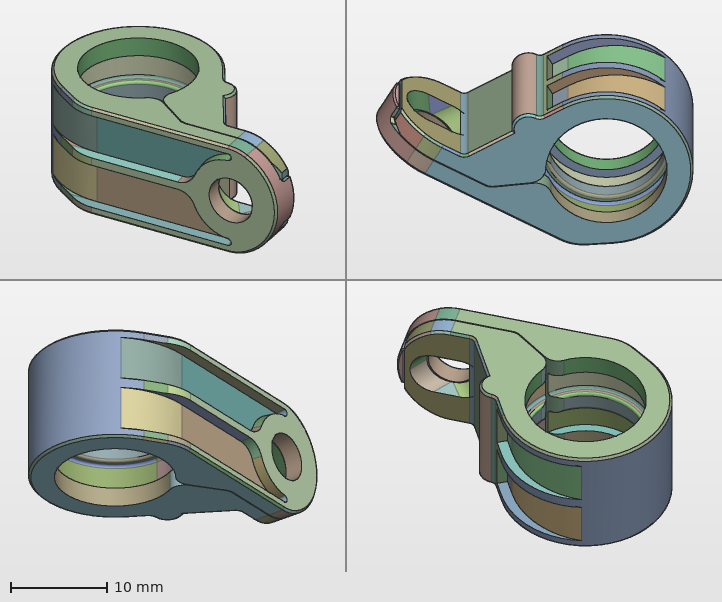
import cadquery as cq
import math

half_height = 6.35
ring_radius = 9.02
bore_radius = 6.32
front_y = -9.83
end_x = 31.12 - ring_radius
edge_chamfer = 0.25

front_blend = 4.98
back_y = -5.75
flank_normal = 30.0
heel_fillet = 0.78
bump_radius = 1.75
bump_center = (9.55, 0.4)
bump_fillet = 0.78

end_radius = 6.5
end_corner_radius = 4.98
hole_radius = 2.58
hole_x = 16.62
slot_start = 0.1
slot_end = 1.4

slit_width = 0.1
slit_y = -7.75
slit_bend_x = 9.62
slit_slope = 36.0
slit_bend_fillet = 1.55
jaw_fillet = 1.75

back_strap_end_x = end_x - 0.87
back_strap_chamfer = (0.9, 0.53)
latch_gap = 0.03
latch_top_y = -5.95
latch_half_width = 2.43
latch_root = 0.45
latch_chamfer = 0.2

groove_depth = 0.93
bead_rounding = 0.3
lip_height = 2.12
bead_half_height = 0.8

pocket_depth = 1.12
pocket_floor_radius = 9.7
pocket_top = 5.48
rib_half_width = 0.45
pocket_inset = 0.12
boss_radius = 4.7
boss_fillet = 2.18
pocket_tip_offset = 0.35
back_pocket_end = 1.87

reach = 18.67


def polar(radius, degrees):
    """Point at a radius and an angle from the origin."""
    angle = math.radians(degrees)
    return (radius * math.cos(angle), radius * math.sin(angle))


def plan_body():
    """Ring, straps and bump as one prism."""
    normal_y = (ring_radius - front_blend) / (front_y + front_blend)
    lower_angle = 180 - math.degrees(math.asin(normal_y))
    ring_lower = polar(ring_radius, lower_angle)
    blend_x, blend_y = polar(front_blend, lower_angle)
    blend_start = (blend_x, blend_y + front_y + front_blend)
    blend_mid = polar(front_blend, (lower_angle + 270) / 2)
    ring_upper = polar(ring_radius, flank_normal)
    slope = math.radians(flank_normal)
    heel_x = (ring_radius - back_y * math.sin(slope)) / math.cos(slope)
    outline = (
        cq.Workplane("XY").workplane(offset=-half_height)
        .moveTo(0, front_y)
        .lineTo(end_x, front_y)
        .lineTo(end_x, back_y)
        .lineTo(heel_x, back_y)
        .lineTo(*ring_upper)
        .threePointArc(polar(ring_radius, (flank_normal + lower_angle) / 2), ring_lower)
        .lineTo(*blend_start)
        .threePointArc((blend_mid[0], blend_mid[1] + front_y + front_blend), (0, front_y))
        .close()
        .extrude(2 * half_height)
    )
    outline = outline.edges(near_line(heel_x, back_y)).fillet(heel_fillet)
    bump = (
        cq.Workplane("XY").workplane(offset=-half_height)
        .center(*bump_center).circle(bump_radius).extrude(2 * half_height)
    )
    cx, cy = bump_center
    distance = ring_radius - cx * math.cos(slope) - cy * math.sin(slope)
    half_chord = math.sqrt(bump_radius**2 - distance**2)
    bump_x = cx + distance * math.cos(slope) - half_chord * math.sin(slope)
    bump_y = cy + distance * math.sin(slope) + half_chord * math.cos(slope)
    return outline.union(bump).edges(near_line(bump_x, bump_y)).fillet(bump_fillet)


def near_line(x, y, margin=0.12):
    """Select the upright edge that stands at (x, y)."""
    box = cq.selectors.BoxSelector((x - margin, y - margin, -0.3), (x + margin, y + margin, 0.3))
    return cq.selectors.StringSyntaxSelector("|Z") & box


def end_prism(y_start, y_end):
    """Side outline with the rounded strap end, between two Y planes."""
    arc_x = end_x - end_radius
    rise = half_height - end_corner_radius
    run = math.sqrt((end_radius - end_corner_radius) ** 2 - rise**2)
    corner_x = arc_x + run
    join_angle = math.degrees(math.atan2(rise, run))
    join_x, join_z = polar(end_radius, join_angle)
    mid_x, mid_z = polar(end_corner_radius, (90 + join_angle) / 2)
    return (
        cq.Workplane("XZ", origin=(0, y_start, 0))
        .moveTo(-reach, -half_height)
        .lineTo(corner_x, -half_height)
        .threePointArc((corner_x + mid_x, -rise - mid_z), (arc_x + join_x, -join_z))
        .threePointArc((end_x, 0), (arc_x + join_x, join_z))
        .threePointArc((corner_x + mid_x, rise + mid_z), (corner_x, half_height))
        .lineTo(-reach, half_height)
        .close()
        .extrude(y_start - y_end)
    )


def chamfered_body():
    """Plan prism with the rounded strap end and a chamfer all along its rim."""
    body = plan_body().intersect(end_prism(front_y, back_y + reach))
    return body.edges("not (|Y or |Z)").chamfer(edge_chamfer)


def slit_mouth():
    """Point where the middle of the slit meets the bore."""
    slope = math.radians(slit_slope)
    offset = slit_bend_x * math.sin(slope) + slit_y * math.cos(slope)
    along = math.sqrt(bore_radius**2 - offset**2)
    return (
        offset * math.sin(slope) + along * math.cos(slope),
        offset * math.cos(slope) - along * math.sin(slope),
    )


def slit():
    """Thin cut that slopes down from the bore and then runs out between the straps."""
    half_width = slit_width / 2
    slope = math.radians(slit_slope)
    miter = half_width * math.tan(slope / 2)
    mouth_x, mouth_y = slit_mouth()
    inside_x = mouth_x - bore_radius / 2 * math.cos(slope)
    inside_y = mouth_y + bore_radius / 2 * math.sin(slope)
    shift_x = half_width * math.sin(slope)
    shift_y = half_width * math.cos(slope)
    cut = (
        cq.Workplane("XY").workplane(offset=-reach)
        .moveTo(inside_x + shift_x, inside_y + shift_y)
        .lineTo(slit_bend_x + miter, slit_y + half_width)
        .lineTo(reach * 2, slit_y + half_width)
        .lineTo(reach * 2, slit_y - half_width)
        .lineTo(slit_bend_x - miter, slit_y - half_width)
        .lineTo(inside_x - shift_x, inside_y - shift_y)
        .close()
        .extrude(2 * reach)
    )
    return cut.edges(near_line(slit_bend_x, slit_y)).fillet(slit_bend_fillet)


def box(x_min, x_max, y_min, y_max, z_min, z_max):
    """Block between two planes in each direction."""
    return cq.Workplane("XY").box(
        x_max - x_min, y_max - y_min, z_max - z_min, centered=False
    ).translate((x_min, y_min, z_min))


def strap_end_cut():
    """Room for the latch: shortens the back strap and chamfers its lower corner."""
    floor_y = slit_y - slit_width / 2
    strap_y = slit_y + slit_width / 2
    run, rise = back_strap_chamfer
    return (
        cq.Workplane("XY").workplane(offset=-reach)
        .moveTo(back_strap_end_x - run, floor_y)
        .lineTo(back_strap_end_x - run, strap_y)
        .lineTo(back_strap_end_x, strap_y + rise)
        .lineTo(back_strap_end_x, reach)
        .lineTo(2 * reach, reach)
        .lineTo(2 * reach, floor_y)
        .close()
        .extrude(2 * reach)
    )


def latch():
    """Lip that stands on the end of the front strap, behind the back strap's end."""
    base_y = slit_y - slit_width / 2
    inner_x = back_strap_end_x + latch_gap
    lip = box(inner_x, reach * 2, base_y, latch_top_y, -latch_half_width, latch_half_width)
    root_width = reach + 2 * latch_root
    root = (
        cq.Workplane("XZ", origin=(inner_x + reach / 2, base_y, 0))
        .rect(root_width, 2 * (latch_half_width + latch_root))
        .workplane(offset=-latch_root)
        .rect(reach, 2 * latch_half_width)
        .loft()
    )
    outline = end_prism(base_y - 0.3, latch_top_y)
    lip = lip.intersect(outline).faces(">Y").edges().chamfer(latch_chamfer)
    return lip.union(root.intersect(outline))


def fastener_hole():
    """Round hole in the front strap that spreads sideways into a slot through the back strap."""
    hole = cq.Workplane("XZ", origin=(hole_x, slit_y, 0)).circle(hole_radius).extrude(reach)
    for side in (-1, 1):
        leaning = (
            cq.Workplane("XZ", origin=(hole_x, slit_y, 0))
            .center(side * slot_start, 0)
            .circle(hole_radius)
            .workplane(offset=slit_y - back_y)
            .center(side * (slot_end - slot_start), 0)
            .circle(hole_radius)
            .loft(ruled=True)
        )
        hole = hole.union(leaning)
    wedge = (
        cq.Workplane("XY", origin=(hole_x, 0, -hole_radius))
        .moveTo(slot_start, slit_y)
        .lineTo(slot_end, back_y)
        .lineTo(-slot_end, back_y)
        .lineTo(-slot_start, slit_y)
        .close()
        .extrude(2 * hole_radius)
    )
    return hole.union(wedge)


def bore_groove():
    """Groove above the middle bead, with the bead's edge and foot rounded."""
    bottom = bead_half_height
    bend = bead_rounding
    outer = bore_radius + groove_depth
    diagonal = bend * (1 - math.sqrt(0.5))
    return (
        cq.Workplane("XZ")
        .moveTo(bore_radius, bottom)
        .threePointArc(
            (bore_radius + diagonal, bottom + bend - diagonal),
            (bore_radius + bend, bottom + bend),
        )
        .lineTo(outer - bend, bottom + bend)
        .threePointArc(
            (outer - diagonal, bottom + bend + diagonal),
            (outer, bottom + 2 * bend),
        )
        .lineTo(outer, half_height - lip_height)
        .lineTo(bore_radius, half_height - lip_height)
        .close()
        .revolve(360, (0, 0, 0), (0, 1, 0))
    )


def front_pocket_outline(inset, y):
    """Side outline of the upper front pocket, leaning in by the inset."""
    top = pocket_top - inset
    rib = rib_half_width + inset
    boss = boss_radius + inset
    fillet = boss_fillet - inset
    tip_x = hole_x - pocket_tip_offset
    tip = (top**2 + pocket_tip_offset**2 - boss**2) / (2 * (boss + top))
    tip_angle = math.atan2(top - tip, -pocket_tip_offset)
    tip_end = (hole_x + boss * math.cos(tip_angle), boss * math.sin(tip_angle))
    fillet_z = rib + fillet
    fillet_x = hole_x - math.sqrt((boss + fillet) ** 2 - fillet_z**2)
    neck_angle = math.atan2(fillet_z, fillet_x - hole_x)
    neck = (hole_x + boss * math.cos(neck_angle), boss * math.sin(neck_angle))
    boss_mid_angle = (tip_angle + neck_angle) / 2
    boss_mid = (hole_x + boss * math.cos(boss_mid_angle), boss * math.sin(boss_mid_angle))
    fillet_mid_angle = (neck_angle - math.pi - math.pi / 2) / 2
    fillet_mid = (
        fillet_x + fillet * math.cos(fillet_mid_angle),
        fillet_z + fillet * math.sin(fillet_mid_angle),
    )
    return (
        cq.Workplane("XZ", origin=(0, y, 0))
        .moveTo(-reach, top)
        .lineTo(tip_x, top)
        .threePointArc((tip_x + tip, top - tip), tip_end)
        .threePointArc(boss_mid, neck)
        .threePointArc(fillet_mid, (fillet_x, rib))
        .lineTo(-reach, rib)
        .close()
    )


def pocket_runout():
    """Space outside the curved part of a pocket floor whose flat part starts at (0, floor_y)."""
    floor_y = front_y + pocket_depth
    center_y = floor_y + pocket_floor_radius
    mid_x, mid_y = polar(pocket_floor_radius, 225)
    return (
        cq.Workplane("XY").workplane(offset=-reach)
        .moveTo(0, floor_y)
        .threePointArc((mid_x, center_y + mid_y), (-pocket_floor_radius, center_y))
        .lineTo(-reach, center_y)
        .lineTo(-reach, -reach)
        .lineTo(0, -reach)
        .close()
        .extrude(2 * reach)
    )


def front_pocket():
    """Pocket above the front rib: sloped walls along the strap, plain ones where it runs out."""
    floor_y = front_y + pocket_depth
    opening = front_pocket_outline(0, front_y).wires().val()
    floor = front_pocket_outline(pocket_inset, floor_y).wires().val()
    sloped = cq.Workplane(cq.Solid.makeLoft([opening, floor], True))
    plain = front_pocket_outline(pocket_inset, front_y).extrude(-reach).intersect(pocket_runout())
    return sloped.union(plain)


def back_pocket():
    """Pocket behind the ring, with a flat floor along the flank that runs out round the ring."""
    floor_x = ring_radius - pocket_depth
    center_x = floor_x - pocket_floor_radius
    mid_x, mid_y = polar(pocket_floor_radius, 45)
    height = pocket_top - rib_half_width - 2 * pocket_inset
    return (
        cq.Workplane("XY").workplane(offset=rib_half_width + pocket_inset)
        .moveTo(floor_x, -back_pocket_end)
        .lineTo(floor_x, 0)
        .threePointArc((center_x + mid_x, mid_y), (center_x, pocket_floor_radius))
        .lineTo(center_x, reach)
        .lineTo(reach, reach)
        .lineTo(reach, -back_pocket_end)
        .close()
        .extrude(height)
        .rotate((0, 0, 0), (0, 0, 1), flank_normal)
    )


def on_both_sides(cutter):
    """Cutter together with its mirror image below the middle plane."""
    return cutter.union(cutter.mirror("XY"))


bore = cq.Workplane("XY").circle(bore_radius).extrude(reach, both=True)
clamp = chamfered_body().cut(bore).cut(slit())
clamp = clamp.edges(near_line(*slit_mouth())).fillet(jaw_fillet)
clamp = clamp.cut(strap_end_cut()).union(latch()).cut(fastener_hole())
for cutter in (bore_groove(), front_pocket(), back_pocket()):
    clamp = clamp.cut(on_both_sides(cutter))

result = clamp